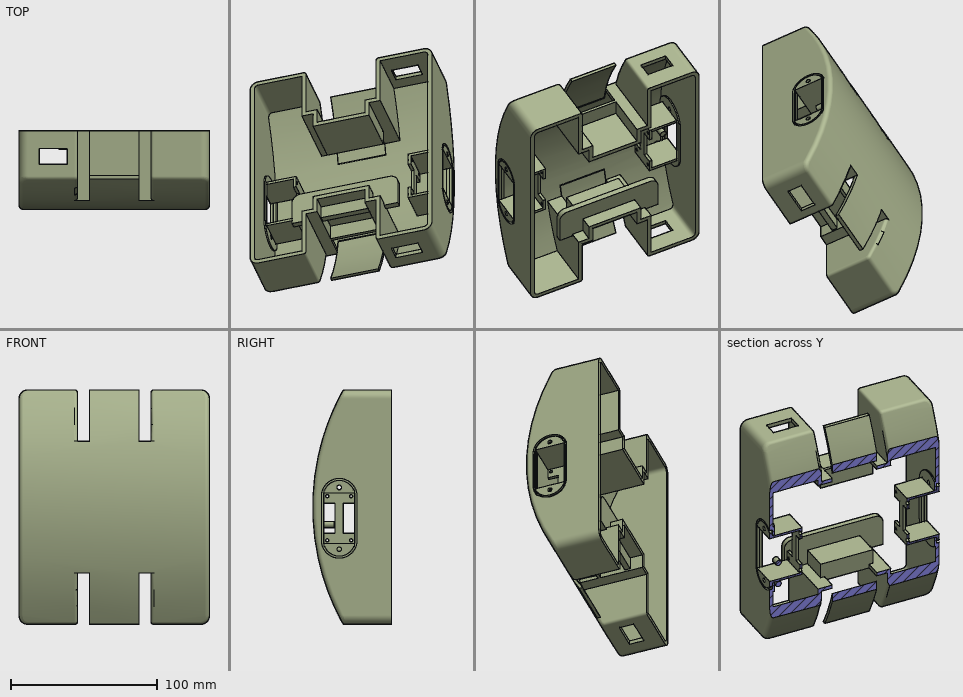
import cadquery as cq
import math

width = 130.0
height = 160.0
depth = 53.9
back_y = 26.77
front_y = back_y - depth
side_depth = 33.0
half_width = width / 2
half_height = height / 2
bulge = depth - side_depth
front_radius = (half_height**2 + bulge**2) / (2 * bulge)
front_center_y = front_y + front_radius
wall = 3.0
tongue_thickness = 2.2
corner_radius = 6.0
front_fillet = 3.0

channel_half_width = 25.0
tongue_half_width = 17.0
channel_floor_z = 45.0
pocket_floor_z = 34.0
pocket_front_y = -3.8
pocket_wall = 2.0
channel_fillet = 2.0

cable_width = 19.0
cable_depth = 10.5
cable_x = -41.6
cable_y = 9.3

panel_y = -9.0
panel_z = -7.6
arc_center_spacing = 30.0
panel_radius = 10.8
recess_radius = 12.2
panel_thickness = 2.0
pad_thickness = 2.0
pad_margin = 2.0
window_width = 20.8
window_height = 34.4
screw_spacing = 42.2
screw_diameter = 3.0

tray_wall = 2.0
tray_length = 25.0
board_thickness = 2.0
opening_height = 20.4
center_bar = 5.8
board_hole_diameter = 2.0
board_hole_pitch_y = 16.3
board_hole_pitch_z = 30.1

peg_diameter = 4.5
peg_x = -58.0
upper_peg_z = -11.9
upper_peg_end_y = -12.4
lower_peg_z = -29.1
lower_peg_end_y = -6.0

mount_thickness = 4.0
mount_front_y = 13.9
mount_left_x = -37.8
mount_top_z = -19.0
mount_radius = 6.0


def block(x_range, y_range, z_range):
    """Box between the given limits."""
    size = [high - low for low, high in (x_range, y_range, z_range)]
    corner = cq.Vector(x_range[0], y_range[0], z_range[0])
    return cq.Workplane(cq.Solid.makeBox(*size, corner))


def domed_block(inset, half_x):
    """Side profile, inset from the outer skin but open to the back, stretched to +-half_x."""
    top = half_height - inset
    radius = front_radius - inset
    edge_y = front_center_y - math.sqrt(radius**2 - top**2)
    return (
        cq.Workplane("YZ").workplane(offset=-half_x)
        .moveTo(back_y, -top)
        .lineTo(edge_y, -top)
        .threePointArc((front_y + inset, 0), (edge_y, top))
        .lineTo(back_y, top)
        .close()
        .extrude(2 * half_x)
    )


def end_blocks(half_x, y_min, floor_z):
    """The same block at the top and bottom end, reaching out to the end faces."""
    top = block((-half_x, half_x), (y_min, back_y), (floor_z, half_height))
    return top.union(top.mirror("XY"))


def oval(radius, x_start, length):
    """Upright oval prism on the panel axis."""
    return (
        cq.Workplane("YZ", origin=(x_start, panel_y, panel_z))
        .slot2D(arc_center_spacing + 2 * radius, 2 * radius, 90)
        .extrude(length)
    )


def panel_window(x_start, length, rim=0.0):
    """Rectangular opening of the side panel, made taller by a rim at the top and bottom."""
    return (
        cq.Workplane("YZ", origin=(x_start, panel_y, panel_z))
        .rect(window_width, window_height + 2 * rim)
        .extrude(length)
    )


def screw_holes(x_start, length):
    """The two screw holes above and below the window."""
    return (
        cq.Workplane("YZ", origin=(x_start, panel_y, panel_z))
        .pushPoints([(0, screw_spacing / 2), (0, -screw_spacing / 2)])
        .circle(screw_diameter / 2)
        .extrude(length)
    )


def is_lobe_rim(edge):
    """True for the end and front edges of a lobe that border a strap channel."""
    box = edge.BoundingBox()
    on_channel_side = box.xlen < 0.01 and abs(abs(box.center.x) - channel_half_width) < 0.01
    on_back = box.ymin > back_y - 0.01
    on_floor = box.zlen < 0.01 and abs(box.center.z) < channel_floor_z + 0.01
    return on_channel_side and not on_back and not on_floor


def outer_shape():
    """Domed block with rounded corners, channel lobes and an unrounded column between the lobes."""
    body = domed_block(0, half_width)
    body = body.edges("|Y").fillet(corner_radius)
    body = body.faces("<Y").edges().fillet(front_fillet)
    body = body.cut(end_blocks(channel_half_width, front_y, channel_floor_z))
    rims = [edge for edge in body.edges().vals() if is_lobe_rim(edge)]
    body = body.newObject(rims).fillet(channel_fillet)
    column = domed_block(0, tongue_half_width)
    return body.union(column)


def cavity():
    """Hollow inside, open at the back and clear of the strap channels and pockets."""
    space = domed_block(wall, half_width - wall).edges("|Y").fillet(corner_radius - wall)
    space = space.cut(end_blocks(channel_half_width + wall, front_y, channel_floor_z - wall))
    return space.cut(
        end_blocks(tongue_half_width + wall, pocket_front_y - pocket_wall, pocket_floor_z - wall)
    )


def strap_space():
    """Room behind the tongues; ahead of the pocket wall it opens into the hollow inside."""
    behind_skin = (
        cq.Workplane("YZ", origin=(-tongue_half_width, front_center_y, 0))
        .circle(front_radius - tongue_thickness)
        .extrude(2 * tongue_half_width)
    )
    space = end_blocks(tongue_half_width, front_y, pocket_floor_z)
    pocket_walls = block(
        (-tongue_half_width, tongue_half_width),
        (pocket_front_y - pocket_wall, pocket_front_y),
        (-channel_floor_z, channel_floor_z),
    )
    return space.cut(pocket_walls).intersect(behind_skin)


def cable_windows():
    """One rectangular opening running through both end walls."""
    return (
        cq.Workplane("XY", origin=(cable_x, cable_y, -half_height))
        .rect(cable_width, cable_depth)
        .extrude(height)
    )


def tray():
    """Shelf and ceiling along the window, closed by a board plate with two openings and four holes."""
    plate_x = -half_width + tray_length - board_thickness
    shelves = panel_window(-half_width, tray_length, tray_wall)
    shelves = shelves.cut(panel_window(-half_width, tray_length - board_thickness))
    board = cq.Workplane("YZ", origin=(plate_x, panel_y, panel_z))
    openings = board.rect(window_width, opening_height).extrude(board_thickness)
    bar = board.rect(center_bar, opening_height).extrude(board_thickness)
    holes = (
        board.rarray(board_hole_pitch_y, board_hole_pitch_z, 2, 2)
        .circle(board_hole_diameter / 2)
        .extrude(board_thickness)
    )
    return shelves.cut(openings.cut(bar)).cut(holes)


def peg(z, end_y):
    """Round peg standing on the inside of the front skin."""
    rod = (
        cq.Workplane("XZ", origin=(peg_x, end_y, z))
        .circle(peg_diameter / 2)
        .extrude(end_y - front_y)
    )
    return rod.intersect(domed_block(wall / 2, half_width - wall / 2))


def mount():
    """Plate with rounded upper corners, standing up from the lower channel wall at the back."""
    plate = block(
        (mount_left_x, -mount_left_x),
        (mount_front_y, mount_front_y + mount_thickness),
        (-channel_floor_z + wall / 2, mount_top_z),
    )
    return plate.edges("|Y and >Z").fillet(mount_radius)


def panel_seat():
    """Recess in the -X wall for a side panel, with openings for its tray and screws."""
    seat_depth = panel_thickness + pad_thickness
    seat = oval(recess_radius, -half_width, panel_thickness)
    seat = seat.union(panel_window(-half_width, seat_depth, tray_wall))
    return seat.union(screw_holes(-half_width, seat_depth))


def housing_body():
    """Hollow housing with strap channels, inner features and a panel seat on each side."""
    body = outer_shape().cut(strap_space()).cut(cavity()).cut(cable_windows())
    body = body.union(mount())
    body = body.union(peg(upper_peg_z, upper_peg_end_y))
    body = body.union(peg(lower_peg_z, lower_peg_end_y))
    pad = oval(recess_radius + pad_margin, -half_width + panel_thickness, pad_thickness)
    seat = panel_seat()
    body = body.union(pad).union(pad.mirror("YZ"))
    return body.cut(seat).cut(seat.mirror("YZ"))


def side_panel():
    """Oval plate of the -X side with its window, screw holes and tray."""
    plate = oval(panel_radius, -half_width, panel_thickness)
    plate = plate.cut(panel_window(-half_width, panel_thickness))
    plate = plate.cut(screw_holes(-half_width, panel_thickness))
    return plate.union(tray())


housing = housing_body()
left_panel = side_panel()
right_panel = left_panel.mirror("YZ")

result = cq.Compound.makeCompound([housing.val(), left_panel.val(), right_panel.val()])